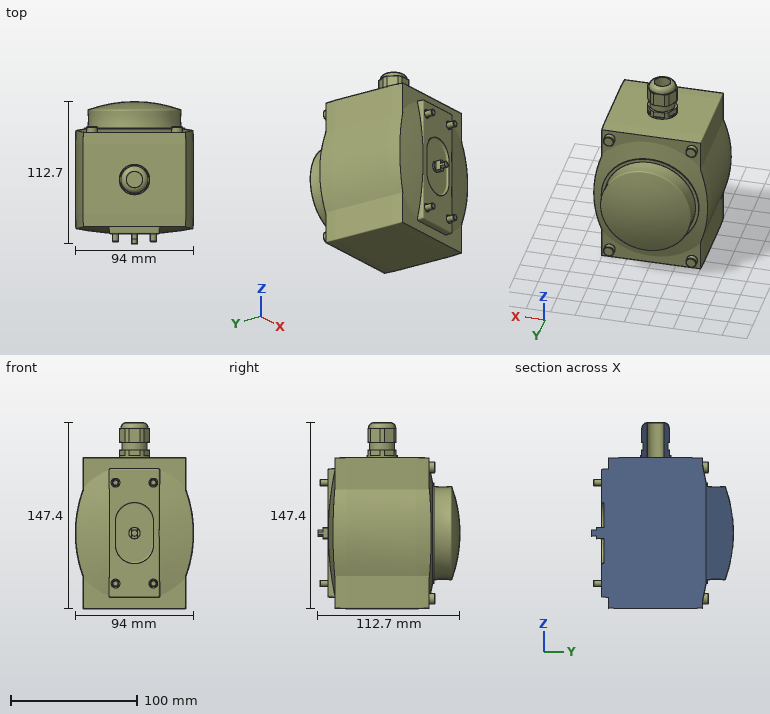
import cadquery as cq
import math


BLOCK_WIDTH = 81.7
BLOCK_HEIGHT = 119.9
BLOCK_DEPTH = 74.6
CORE_DEPTH = 55.2
END_DRAFT = 2.5
EDGE_RADIUS = 0.9
BULGE_WIDTH = 94.0
BULGE_HEIGHT = 68.7

CROWN_DIAMETER = 107.6
CROWN_HEIGHT = 6.0

PLATE_WIDTH = 40.4
PLATE_HEIGHT = 102.3
PLATE_THICKNESS = 5.6
PLATE_CORNER_RADIUS = 1.8
PLATE_DRAFT = 5.0
PLATE_EDGE_RADIUS = 0.9

POCKET_WIDTH = 30.4
POCKET_LENGTH = 48.4
POCKET_DEPTH = 1.9
POCKET_FLOOR_RADIUS = 1.2

SHAFT_DIAMETER = 9.0
SHAFT_COLLAR_HEIGHT = 1.5
TONGUE_WIDTH = 4.5
TONGUE_REACH = 4.0
TIP_DIAMETER = 5.0
TIP_REACH = 8.0

PIN_DIAMETER = 5.0
PIN_REACH = 6.3
PIN_WELL_DIAMETER = 7.0
PIN_WELL_DEPTH = 2.4
PIN_SPACING_X = 30.0
PIN_SPACING_Z = 79.9
SCREW_CHAMFER = 0.5

HEAD_DIAMETER = 8.5
HEAD_HEIGHT = 4.5
HEAD_SPACING_X = 67.2
HEAD_SPACING_Z = 104.1

FLANGE_DIAMETER = 79.6
FLANGE_THICKNESS = 0.9
DOME_BASE_DIAMETER = 74.3
DOME_WAIST_DIAMETER = 73.1
DOME_RIM_DIAMETER = 74.0
DOME_WALL_HEIGHT = 13.3
RIM_ROUND_WIDTH = 0.7
RIM_ROUND_HEIGHT = 1.2
DOME_TOP_Y = 61.8

GLAND_DIAMETER = 24.0
HEX_ACROSS_FLATS = 22.4
GLAND_NECK_DIAMETER = 20.0
GLAND_CAP_DIAMETER = 21.7
GLAND_BORE_DIAMETER = 13.0
GLAND_FLANGE_HEIGHT = 1.3
LOWER_HEX_HEIGHT = 4.4
GLAND_NECK_HEIGHT = 6.2
UPPER_HEX_HEIGHT = 10.9
GLAND_CAP_HEIGHT = 4.7
GLAND_CAP_TOP_DIAMETER = 13.5
GLAND_CAP_RADIUS = 4.5

FACE_Y = BLOCK_DEPTH / 2
TOP_Z = BLOCK_HEIGHT / 2
PLATE_Y = -FACE_Y - PLATE_THICKNESS
CROWN_RADIUS = ((CROWN_DIAMETER / 2) ** 2 + CROWN_HEIGHT ** 2) / (2 * CROWN_HEIGHT)
CROWN_CENTER_Y = FACE_Y + CROWN_HEIGHT - CROWN_RADIUS
SEAT_Y = CROWN_CENTER_Y + math.sqrt(CROWN_RADIUS ** 2 - (FLANGE_DIAMETER / 2) ** 2)


def facing_front(y):
    """Work plane at the given Y whose normal points to the front, -Y."""
    return cq.Workplane("XZ", origin=(0, y, 0))


def facing_rear(y):
    """Work plane at the given Y whose normal points to the rear, +Y."""
    return cq.Workplane(cq.Plane(origin=(0, y, 0), xDir=(1, 0, 0), normal=(0, 1, 0)))


def corner_points(spacing_x, spacing_z):
    return [(sx * spacing_x / 2, sz * spacing_z / 2) for sx in (-1, 1) for sz in (-1, 1)]


def block_profile(plane):
    """Rectangle with rounded corners whose left and right sides bow outwards."""
    x = BLOCK_WIDTH / 2
    z = BLOCK_HEIGHT / 2
    bow = BULGE_WIDTH / 2
    bow_z = BULGE_HEIGHT / 2
    r = EDGE_RADIUS
    return (
        plane.moveTo(-x + r, -z)
        .lineTo(x - r, -z)
        .radiusArc((x, -z + r), -r)
        .lineTo(x, -bow_z)
        .threePointArc((bow, 0), (x, bow_z))
        .lineTo(x, z - r)
        .radiusArc((x - r, z), -r)
        .lineTo(-x + r, z)
        .radiusArc((-x, z - r), -r)
        .lineTo(-x, bow_z)
        .threePointArc((-bow, 0), (-x, -bow_z))
        .lineTo(-x, -z + r)
        .radiusArc((-x + r, -z), -r)
        .close()
    )


def crown(top_y):
    """Spherical cap on the rear face, cut flat at top_y."""
    cap = (
        cq.Workplane("XY")
        .moveTo(0, FACE_Y)
        .lineTo(CROWN_DIAMETER / 2, FACE_Y)
        .radiusArc((0, FACE_Y + CROWN_HEIGHT), -CROWN_RADIUS)
        .close()
        .revolve(360, (0, 0, 0), (0, 1, 0))
    )
    return cap.intersect(facing_rear(FACE_Y).circle(CROWN_DIAMETER).extrude(top_y - FACE_Y))


def block():
    """Bowed block with drafted ends and a crown on each end face; the front crown ends under the plate."""
    end_length = (BLOCK_DEPTH - CORE_DEPTH) / 2 + CROWN_HEIGHT
    body = block_profile(facing_rear(-CORE_DEPTH / 2)).extrude(CORE_DEPTH)
    body = body.union(block_profile(facing_rear(CORE_DEPTH / 2)).extrude(end_length, taper=END_DRAFT))
    body = body.union(block_profile(facing_front(-CORE_DEPTH / 2)).extrude(end_length, taper=END_DRAFT))

    limits = cq.Workplane("XY").box(2 * BULGE_WIDTH, BLOCK_DEPTH, 2 * BLOCK_HEIGHT)
    limits = limits.union(crown(SEAT_Y))
    front_height = PLATE_HEIGHT - 2 * PLATE_EDGE_RADIUS
    front_zone = cq.Workplane("XY").box(BULGE_WIDTH, 2 * CROWN_DIAMETER, front_height)
    limits = limits.union(crown(-PLATE_Y).mirror("XZ").intersect(front_zone))
    return body.intersect(limits)


def plate():
    return (
        facing_front(-FACE_Y)
        .sketch()
        .rect(PLATE_WIDTH, PLATE_HEIGHT)
        .vertices()
        .fillet(PLATE_CORNER_RADIUS)
        .finalize()
        .extrude(PLATE_THICKNESS, taper=PLATE_DRAFT)
        .faces("<Y")
        .edges()
        .fillet(PLATE_EDGE_RADIUS)
    )


def pocket():
    return (
        facing_front(PLATE_Y + POCKET_DEPTH)
        .slot2D(POCKET_LENGTH, POCKET_WIDTH, 90)
        .extrude(POCKET_DEPTH)
        .faces(">Y")
        .edges()
        .fillet(POCKET_FLOOR_RADIUS)
    )


def shaft():
    """Round collar carrying a flat tongue and a tip of the same width."""
    floor = facing_front(PLATE_Y + POCKET_DEPTH)
    collar = floor.circle(SHAFT_DIAMETER / 2).extrude(SHAFT_COLLAR_HEIGHT)
    tongue = floor.circle(SHAFT_DIAMETER / 2).extrude(POCKET_DEPTH + TONGUE_REACH)
    tip = floor.circle(TIP_DIAMETER / 2).extrude(POCKET_DEPTH + TIP_REACH)
    flats = floor.rect(TONGUE_WIDTH, SHAFT_DIAMETER).extrude(POCKET_DEPTH + TIP_REACH)
    return tongue.union(tip).intersect(flats).union(collar)


def pins():
    return (
        facing_front(PLATE_Y + PIN_WELL_DEPTH)
        .pushPoints(corner_points(PIN_SPACING_X, PIN_SPACING_Z))
        .circle(PIN_DIAMETER / 2)
        .extrude(PIN_WELL_DEPTH + PIN_REACH)
        .faces("<Y")
        .edges()
        .chamfer(SCREW_CHAMFER)
    )


def pin_wells():
    return (
        facing_front(PLATE_Y + PIN_WELL_DEPTH)
        .pushPoints(corner_points(PIN_SPACING_X, PIN_SPACING_Z))
        .circle(PIN_WELL_DIAMETER / 2)
        .extrude(PIN_WELL_DEPTH)
    )


def screw_heads():
    return (
        facing_rear(FACE_Y)
        .pushPoints(corner_points(HEAD_SPACING_X, HEAD_SPACING_Z))
        .circle(HEAD_DIAMETER / 2)
        .extrude(HEAD_HEIGHT)
        .faces(">Y")
        .edges()
        .chamfer(SCREW_CHAMFER)
    )


def make_housing():
    body = block().union(plate())
    body = body.cut(pocket()).cut(pin_wells())
    return body.union(shaft()).union(pins()).union(screw_heads())


def make_dome():
    """Indicator dome: flange, slightly waisted wall, rounded rim and spherical top."""
    wall_y = SEAT_Y + FLANGE_THICKNESS
    rim_y = wall_y + DOME_WALL_HEIGHT
    top_edge_r = DOME_RIM_DIAMETER / 2 - RIM_ROUND_WIDTH
    top_edge_y = rim_y + RIM_ROUND_HEIGHT
    top_rise = DOME_TOP_Y - top_edge_y
    top_radius = (top_edge_r ** 2 + top_rise ** 2) / (2 * top_rise)
    return (
        cq.Workplane("XY")
        .moveTo(0, SEAT_Y)
        .lineTo(FLANGE_DIAMETER / 2, SEAT_Y)
        .lineTo(FLANGE_DIAMETER / 2, wall_y)
        .lineTo(DOME_BASE_DIAMETER / 2, wall_y)
        .threePointArc(
            (DOME_WAIST_DIAMETER / 2, (wall_y + rim_y) / 2),
            (DOME_RIM_DIAMETER / 2, rim_y),
        )
        .radiusArc((top_edge_r, top_edge_y), -RIM_ROUND_HEIGHT)
        .radiusArc((0, DOME_TOP_Y), -top_radius)
        .close()
        .revolve(360, (0, 0, 0), (0, 1, 0))
    )


def rounded_hexagon(z, height):
    """Hexagon with flats facing front and rear, its corners turned down to the gland diameter."""
    base = cq.Workplane("XY", origin=(0, 0, z))
    across_corners = HEX_ACROSS_FLATS / math.cos(math.radians(30))
    blank = base.circle(GLAND_DIAMETER / 2).extrude(height)
    return base.polygon(6, across_corners).extrude(height).intersect(blank)


def make_gland():
    lower_hex_z = TOP_Z + GLAND_FLANGE_HEIGHT
    neck_z = lower_hex_z + LOWER_HEX_HEIGHT
    upper_hex_z = neck_z + GLAND_NECK_HEIGHT
    cap_z = upper_hex_z + UPPER_HEX_HEIGHT
    top_z = cap_z + GLAND_CAP_HEIGHT

    top = cq.Workplane("XY", origin=(0, 0, TOP_Z))
    flange = top.circle(GLAND_DIAMETER / 2).extrude(GLAND_FLANGE_HEIGHT)
    neck_base = cq.Workplane("XY", origin=(0, 0, neck_z))
    neck = neck_base.circle(GLAND_NECK_DIAMETER / 2).extrude(GLAND_NECK_HEIGHT)
    cap = (
        cq.Workplane("XZ")
        .moveTo(0, cap_z)
        .lineTo(GLAND_CAP_DIAMETER / 2, cap_z)
        .radiusArc((GLAND_CAP_TOP_DIAMETER / 2, top_z), -GLAND_CAP_RADIUS)
        .lineTo(0, top_z)
        .close()
        .revolve(360, (0, 0, 0), (0, 1, 0))
    )
    body = flange.union(rounded_hexagon(lower_hex_z, LOWER_HEX_HEIGHT)).union(neck)
    body = body.union(rounded_hexagon(upper_hex_z, UPPER_HEX_HEIGHT)).union(cap)
    bore = top.circle(GLAND_BORE_DIAMETER / 2).extrude(top_z - TOP_Z)
    return body.cut(bore)


housing = make_housing()
dome = make_dome()
gland = make_gland()

result = cq.Compound.makeCompound([housing.val(), dome.val(), gland.val()])